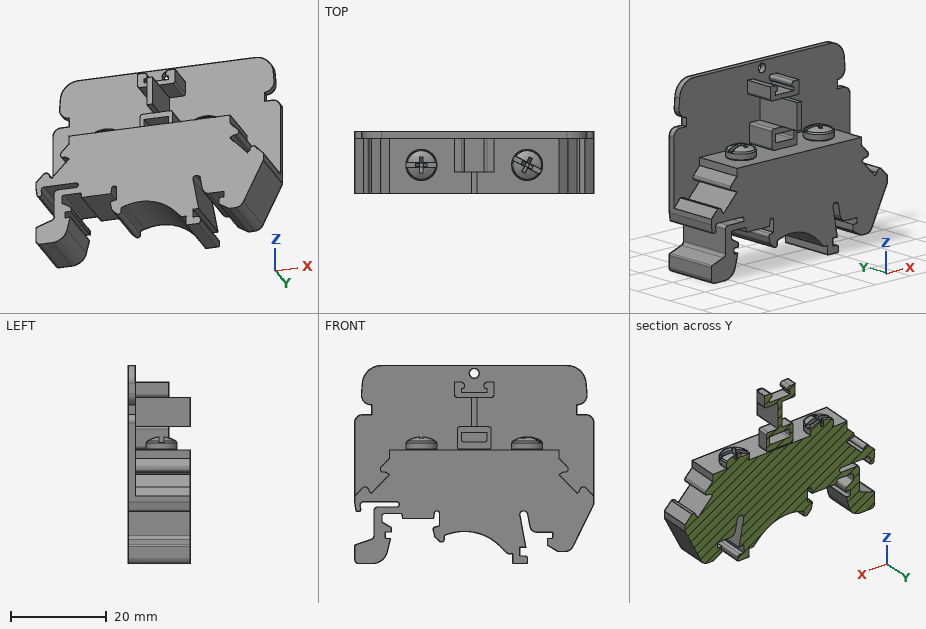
import cadquery as cq
import math

LENGTH = 50.0
DEPTH = 13.0
HEIGHT = 41.4
HALF_LENGTH = LENGTH / 2

PLATE_THICKNESS = 1.5
PLATE_FRONT = DEPTH - PLATE_THICKNESS
HOLE_DIAMETER = 2.0
HOLE_HEIGHT = 39.75
NOTCH_HALF_SPAN = 21.45
NOTCH_BOTTOM = 31.15
NOTCH_TOP = 33.15

SHOULDER_HEIGHT = 14.1
DECK_HEIGHT = 23.75
DECK_HALF_LENGTH = 17.7

HOLDER_FRONT = 4.5
HOLDER_ROUND = 0.5
CLIP_HALF_WIDTH = 4.1
CLIP_BOTTOM = 34.75
CLIP_FLOOR = 35.8
CLIP_TOP = 37.9
CLIP_LIP_BOTTOM = 36.55
CLIP_LIP_HALF_GAP = 2.05
CLIP_LIP_TOP_ROUND = 0.65
CLIP_LIP_BOTTOM_ROUND = 0.55
WINDOW_HALF_WIDTH = 2.65
WEB_THICKNESS = 1.2
BOX_WIDTH = 7.1
BOX_CLEARANCE = 0.15
BOX_BOTTOM = DECK_HEIGHT + BOX_CLEARANCE
BOX_TOP = 28.6
WINDOW_BOTTOM = 25.45
WINDOW_TOP = 27.35
WINDOW_ROUND = 0.35

SCREW_X = 11.05
SCREW_Y = 6.0
HEAD_RADIUS = 3.25
HEAD_HEIGHT = 2.75
HEAD_BASE_CHAMFER = 0.25
HEAD_SIDE_TOP = 1.5
DOME_RADIUS = 3.0
DOME_BASE = 1.85
DRIVE_SLOT_WIDTH = 1.05
DRIVE_SLOT_DEPTH = 1.2
CROSS_ARM_WIDTH = 0.7
CROSS_TOP_LENGTH = 3.7
CROSS_BOTTOM_LENGTH = 0.8
SCREW_ANGLES = {-SCREW_X: 0, SCREW_X: -27}


def rounded_outline(corners):
    """Closed XZ outline through (x, z, corner radius) points; radius 0 keeps a corner sharp."""
    ends = []
    for i, (x, z, radius) in enumerate(corners):
        corner = cq.Vector(x, z)
        to_previous = (cq.Vector(*corners[i - 1][:2]) - corner).normalized()
        to_next = (cq.Vector(*corners[(i + 1) % len(corners)][:2]) - corner).normalized()
        if radius == 0:
            ends.append((corner, None, corner))
            continue
        half_angle = to_previous.getAngle(to_next) / 2
        trim = radius / math.tan(half_angle)
        bisector = (to_previous + to_next).normalized()
        middle = corner + bisector * (radius / math.sin(half_angle) - radius)
        ends.append((corner + to_previous * trim, middle, corner + to_next * trim))

    outline = cq.Workplane("XZ").moveTo(*ends[0][2].toTuple()[:2])
    for start, middle, end in ends[1:] + ends[:1]:
        outline = outline.lineTo(*start.toTuple()[:2])
        if middle is not None:
            outline = outline.threePointArc(middle.toTuple()[:2], end.toTuple()[:2])
    return outline.close()


def mirrored(left_side):
    """Corners of a left side followed by their mirror images, in order around the outline."""
    return left_side + [(-x, z, radius) for x, z, radius in reversed(left_side)]


def extrude_y(outline, front, back):
    """Extrude an XZ outline from Y = front to Y = back."""
    return outline.extrude(front - back).translate((0, front, 0))


def make_plate():
    left_side = [
        (-HALF_LENGTH, SHOULDER_HEIGHT, 0),
        (-HALF_LENGTH, NOTCH_BOTTOM, 1.75),
        (-NOTCH_HALF_SPAN, NOTCH_BOTTOM, 0),
        (-NOTCH_HALF_SPAN, NOTCH_TOP, 0),
        (-23.75, NOTCH_TOP, 2.1),
        (-23.1, HEIGHT, 4.0),
    ]
    plate = extrude_y(rounded_outline(mirrored(left_side)), PLATE_FRONT, DEPTH)
    hole = cq.Workplane("XZ").center(0, HOLE_HEIGHT).circle(HOLE_DIAMETER / 2)
    return plate.cut(extrude_y(hole, PLATE_FRONT, DEPTH))


def make_housing():
    flank = [
        (-HALF_LENGTH, SHOULDER_HEIGHT, 0),
        (-23.15, 16.0, 0),
        (-22.0, 16.3, 0.85),
        (-22.0, 15.15, 0),
        (-21.5, 14.7, 0),
        (-17.7, 18.6, 0),
        (-18.5, 19.1, 0.3),
        (-20.5, 19.1, 0.65),
        (-DECK_HALF_LENGTH, 22.0, 0),
        (-DECK_HALF_LENGTH, DECK_HEIGHT, 0),
    ]
    right_hook = [
        (HALF_LENGTH, 12.45, 0),
        (20.1, 2.5, 2.0),
        (17.5, 2.5, 0.5),
        (15.25, 3.85, 0),
        (15.25, 5.3, 0),
        (16.35, 5.3, 0.2),
        (16.35, 6.55, 0),
        (11.85, 6.55, 1.5),
        (11.0, 11.0, 0.75),
        (9.4, 11.0, 0.7),
    ]
    middle_feet = [
        (10.8, 3.4, 0),
        (9.55, 3.4, 0),
        (9.55, 1.65, 0),
        (11.15, 1.65, 0.6),
        (11.15, 0, 0.4),
        (8.0, 0, 0.25),
        (8.0, 2.05, 0),
        (6.95, 2.05, 0.85),
        (0.95, 8.25, 10.5),
        (-6.25, 5.9, 0.4),
        (-6.25, 3.7, 0.6),
        (-8.25, 5.6, 0.5),
        (-8.75, 7.55, 0.6),
        (-7.3, 7.9, 0),
        (-7.3, 11.0, 0.45),
        (-8.25, 11.0, 0.45),
        (-8.5, 9.4, 0.15),
    ]
    left_leg = [
        (-14.95, 9.4, 0.15),
        (-15.15, 10.45, 0.15),
        (-19.25, 10.45, 0.5),
        (-19.25, 8.7, 0.15),
        (-17.3, 7.55, 0.4),
        (-17.3, 6.6, 0),
        (-18.55, 6.6, 0.15),
        (-18.55, 5.3, 0.15),
        (-17.45, 5.3, 0),
        (-18.75, 0, 3.25),
        (-HALF_LENGTH, 0, 0.95),
        (-HALF_LENGTH, 3.9, 0.4),
        (-20.95, 5.3, 0.85),
        (-20.95, 11.85, 0.75),
        (-15.7, 11.85, 0.5),
        (-15.7, 12.9, 0.5),
        (-23.95, 12.9, 0.7),
        (-23.6, 10.9, 0.4),
        (-24.7, 10.9, 0.35),
        (-HALF_LENGTH, 12.9, 0),
    ]
    outline = rounded_outline(mirrored(flank) + right_hook + middle_feet + left_leg)
    return extrude_y(outline, 0, DEPTH)


def make_clip():
    left_side = [
        (-CLIP_HALF_WIDTH, CLIP_BOTTOM, HOLDER_ROUND),
        (-CLIP_HALF_WIDTH, CLIP_TOP, 0),
        (-CLIP_LIP_HALF_GAP, CLIP_TOP, CLIP_LIP_TOP_ROUND),
        (-CLIP_LIP_HALF_GAP, CLIP_LIP_BOTTOM, CLIP_LIP_BOTTOM_ROUND),
        (-WINDOW_HALF_WIDTH, CLIP_LIP_BOTTOM, 0),
        (-WINDOW_HALF_WIDTH, CLIP_FLOOR, 0),
    ]
    return extrude_y(rounded_outline(mirrored(left_side)), HOLDER_FRONT, PLATE_FRONT)


def make_web():
    half = WEB_THICKNESS / 2
    outline = cq.Workplane("XZ").moveTo(-half, BOX_TOP).lineTo(half, BOX_TOP)
    outline = outline.lineTo(half, CLIP_BOTTOM).lineTo(-half, CLIP_BOTTOM).close()
    return extrude_y(outline, 0, PLATE_FRONT)


def make_box():
    half = BOX_WIDTH / 2
    outer = [(-half, BOX_BOTTOM, HOLDER_ROUND), (-half, BOX_TOP, HOLDER_ROUND)]
    window = [(-WINDOW_HALF_WIDTH, WINDOW_BOTTOM, WINDOW_ROUND), (-WINDOW_HALF_WIDTH, WINDOW_TOP, 0)]
    box = extrude_y(rounded_outline(mirrored(outer)), HOLDER_FRONT, PLATE_FRONT)
    return box.cut(extrude_y(rounded_outline(mirrored(window)), HOLDER_FRONT, PLATE_FRONT))


def make_screw_head():
    """Domed head standing on Z = 0, with a straight slot and a tapered cross recess."""
    dome_rise = HEAD_HEIGHT - DOME_BASE
    dome_curve_radius = (DOME_RADIUS**2 + dome_rise**2) / (2 * dome_rise)
    head = (
        cq.Workplane("XZ")
        .lineTo(HEAD_RADIUS - HEAD_BASE_CHAMFER, 0)
        .lineTo(HEAD_RADIUS, HEAD_BASE_CHAMFER)
        .lineTo(HEAD_RADIUS, HEAD_SIDE_TOP)
        .lineTo(DOME_RADIUS, DOME_BASE)
        .radiusArc((0, HEAD_HEIGHT), -dome_curve_radius)
        .close()
        .revolve(360, (0, 0), (0, 1))
    )
    slot = cq.Workplane("XY").box(
        2 * HEAD_RADIUS, DRIVE_SLOT_WIDTH, DRIVE_SLOT_DEPTH, centered=(True, True, False)
    )
    head = head.cut(slot.translate((0, 0, HEAD_HEIGHT - DRIVE_SLOT_DEPTH)))
    top = CROSS_TOP_LENGTH / 2
    bottom = CROSS_BOTTOM_LENGTH / 2
    arm_outline = [(-bottom, 0), (bottom, 0), (top, HEAD_HEIGHT), (-top, HEAD_HEIGHT)]
    arm = cq.Workplane("XZ").polyline(arm_outline).close().extrude(CROSS_ARM_WIDTH / 2, both=True)
    for angle in (0, 90):
        head = head.cut(arm.rotate((0, 0, 0), (0, 0, 1), angle))
    return head


result = make_housing().union(make_plate())
for feature in (make_clip(), make_web(), make_box()):
    result = result.union(feature)
for screw_x, angle in SCREW_ANGLES.items():
    head = make_screw_head().rotate((0, 0, 0), (0, 0, 1), angle)
    result = result.union(head.translate((screw_x, SCREW_Y, DECK_HEIGHT)))